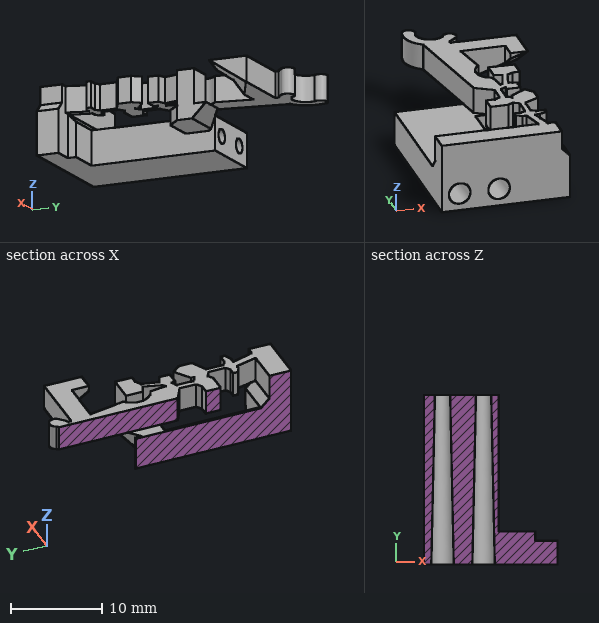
import cadquery as cq
import math

wall_width = 14.63
slab_width = 8.22
slab_end_y = 18.57
total_height = 8.0
slab_top = 4.0
mechanism_bottom = 5.0
mechanism_depth = total_height - mechanism_bottom

wall_thickness = 2.63
wall_foot = mechanism_bottom - slab_top
strip_end_x = 12.22
wall_corner_step = 0.92
wall_corner_x = wall_width - wall_corner_step

hole_centres_x = (2.05, 6.55)
hole_centre_z = 2.02
hole_entry_radius = 1.22
hole_exit_radius = 0.82

pad_left = 10.7
pad_right = wall_corner_x
pad_front = 16.53
platform_front = 15.0
platform_back = 20.05
platform_bottom = 2.32
platform_joint_y = 17.78
platform_corner_x = 12.15

upper_flexure = (9.68, 10.42)
lower_flexure = (11.33, 11.98)
upper_flexure_ends = (10.63, 12.62)
lower_flexure_ends = (6.4, 8.43)

hook_back = 26.03
hook_inner = 23.55
hook_tip_y = 21.5
hook_tip_left = 14.08
hook_right = 16.07
hook_slope_x = 0.34
hook_slope_y = 0.67

ring_inner_radius = 1.6
ring_outer_radius = 3.02
ring_cap_radius = 0.75
ring_mid_radius = (ring_inner_radius + ring_outer_radius) / 2
ring_start_angle = 160
ring_end_angle = 326
ring_x = 7.05
ring_y = 30.55 - ring_cap_radius - ring_mid_radius * math.sin(math.radians(ring_start_angle))


def plate(points):
    """Extrude a closed XY outline through the depth of the moving mechanism."""
    work = cq.Workplane("XY").workplane(offset=mechanism_bottom)
    return work.polyline(points).close().extrude(mechanism_depth)


def side_profile(points, x_start, x_end):
    """Extrude a closed YZ outline from x_start to x_end."""
    return cq.Workplane("YZ").workplane(offset=x_start).polyline(points).close().extrude(x_end - x_start)


def make_base():
    wall = cq.Workplane("XY").box(wall_width, wall_thickness, total_height, centered=False)
    strip_back = wall_thickness + wall_foot
    strip = side_profile(
        [
            (0, 0),
            (strip_back, 0),
            (strip_back, slab_top),
            (wall_thickness, mechanism_bottom),
            (0, mechanism_bottom),
        ],
        0,
        strip_end_x,
    )
    slab = cq.Workplane("XY").box(slab_width, slab_end_y, slab_top, centered=False)
    corner_cut = (
        cq.Workplane("XZ")
        .polyline(
            [
                (wall_corner_x, total_height),
                (wall_corner_x, mechanism_bottom + wall_corner_step),
                (wall_width, mechanism_bottom),
                (wall_width, total_height),
            ]
        )
        .close()
        .extrude(-wall_thickness)
    )
    base = wall.cut(corner_cut).union(strip).union(slab)
    for x in hole_centres_x:
        hole = cq.Solid.makeCone(
            hole_entry_radius, hole_exit_radius, slab_end_y, cq.Vector(x, 0, hole_centre_z), cq.Vector(0, 1, 0)
        )
        base = base.cut(cq.Workplane(obj=hole))
    return base


def make_anchor():
    outline = [
        (slab_width, platform_front),
        (platform_corner_x, platform_front),
        (pad_right, pad_front),
        (pad_right, platform_back),
        (pad_left, platform_back),
        (slab_width, platform_joint_y),
    ]
    platform = cq.Workplane("XY").polyline(outline).close().extrude(slab_top)
    slope_start_y = platform_back - (slab_top - platform_bottom)
    section = side_profile(
        [
            (platform_front, platform_bottom),
            (slope_start_y, platform_bottom),
            (platform_back, slab_top),
            (platform_front, slab_top),
        ],
        slab_width,
        pad_right,
    )
    pad = (
        cq.Workplane("XY")
        .box(pad_right - pad_left, slab_end_y - pad_front, total_height - slab_top, centered=False)
        .translate((pad_left, pad_front, slab_top))
    )
    return platform.intersect(section).union(pad)


def make_lever():
    """Long lever with a round relief beside the anchor and a stop nose at its foot."""
    return (
        cq.Workplane("XY")
        .workplane(offset=mechanism_bottom)
        .moveTo(5.53, 26.35)
        .lineTo(7.65, 13.78)
        .lineTo(upper_flexure[0], upper_flexure_ends[1])
        .lineTo(upper_flexure[1], upper_flexure_ends[1])
        .lineTo(11.05, 12.98)
        .lineTo(11.05, 12.5)
        .lineTo(12.62, 12.5)
        .lineTo(12.62, 13.78)
        .lineTo(11.7, 14.15)
        .lineTo(11.0, 14.08)
        .lineTo(10.7, 13.8)
        .lineTo(10.42, 15.75)
        .threePointArc((9.05, 17.57), (9.78, 19.28))
        .lineTo(9.0, hook_inner)
        .lineTo(8.6, hook_back)
        .lineTo(8.55, 26.35)
        .close()
        .extrude(mechanism_depth)
    )


def make_flexures():
    anchor_strip = plate(
        [(11.0, 14.08), (11.7, 14.15), (12.2, 16.13), (12.9, pad_front), (pad_left, pad_front), (11.6, 16.2)]
    )
    middle_rocker = plate(
        [
            (upper_flexure[0], upper_flexure_ends[1]),
            (upper_flexure[0], upper_flexure_ends[0]),
            (9.05, 10.2),
            (8.0, 10.2),
            (8.0, 8.43),
            (10.05, 8.43),
            (10.7, 8.83),
            (lower_flexure[0], lower_flexure_ends[1]),
            (lower_flexure[1], lower_flexure_ends[1]),
            (13.72, 9.38),
            (13.72, 11.0),
            (12.9, 11.95),
            (11.05, 10.63),
            (11.05, 10.2),
            (upper_flexure[1], upper_flexure_ends[0]),
            (upper_flexure[1], upper_flexure_ends[1]),
        ]
    )
    front_rocker = plate(
        [
            (lower_flexure[0], lower_flexure_ends[1]),
            (lower_flexure[0], lower_flexure_ends[0]),
            (10.8, 6.05),
            (10.05, 6.05),
            (10.05, 5.5),
            (10.7, 5.13),
            (11.15, 5.13),
            (11.8, wall_thickness),
            (12.85, wall_thickness),
            (12.13, 5.13),
            (12.7, 5.13),
            (13.55, 5.5),
            (13.55, 6.05),
            (12.5, 6.05),
            (lower_flexure[1], lower_flexure_ends[0]),
            (lower_flexure[1], lower_flexure_ends[1]),
        ]
    )
    return anchor_strip.union(middle_rocker).union(front_rocker)


def make_hook():
    """Hook arm whose underside slopes up to a point at the front right tip."""
    hook = plate(
        [
            (8.6, hook_back),
            (9.0, hook_inner),
            (hook_tip_left, hook_inner),
            (hook_tip_left, hook_tip_y),
            (hook_right, hook_tip_y),
            (hook_right, hook_back),
        ]
    )
    cut_x = hook_right - mechanism_depth / hook_slope_x
    cut_y = hook_tip_y + mechanism_depth / hook_slope_y
    wedge = (
        cq.Workplane("XY")
        .workplane(offset=mechanism_bottom)
        .polyline([(hook_right, hook_tip_y), (hook_right, cut_y), (cut_x, hook_tip_y)])
        .close()
        .extrude(mechanism_depth)
    )
    slope_normal = cq.Vector(-hook_slope_x, hook_slope_y, 1)
    slope_plane = cq.Plane((hook_right, hook_tip_y, total_height), (0, 1, -hook_slope_y), slope_normal)
    plane_size = 61.1
    above_slope = cq.Workplane(slope_plane).rect(plane_size, plane_size).extrude(plane_size)
    return hook.cut(wedge.cut(above_slope))


def ring_point(radius, angle):
    turn = math.radians(angle)
    return (ring_x + radius * math.cos(turn), ring_y + radius * math.sin(turn))


def make_ring():
    middle_angle = (ring_start_angle + ring_end_angle) / 2
    work = cq.Workplane("XY").workplane(offset=mechanism_bottom)
    ring = (
        work.moveTo(*ring_point(ring_outer_radius, ring_start_angle))
        .threePointArc(
            ring_point(ring_outer_radius, middle_angle), ring_point(ring_outer_radius, ring_end_angle)
        )
        .lineTo(*ring_point(ring_inner_radius, ring_end_angle))
        .threePointArc(
            ring_point(ring_inner_radius, middle_angle), ring_point(ring_inner_radius, ring_start_angle)
        )
        .close()
        .extrude(mechanism_depth)
    )
    for angle in (ring_start_angle, ring_end_angle):
        cap = work.moveTo(*ring_point(ring_mid_radius, angle)).circle(ring_cap_radius).extrude(mechanism_depth)
        ring = ring.union(cap)
    return ring


result = make_base()
for feature in (make_anchor(), make_flexures(), make_lever(), make_hook(), make_ring()):
    result = result.union(feature)